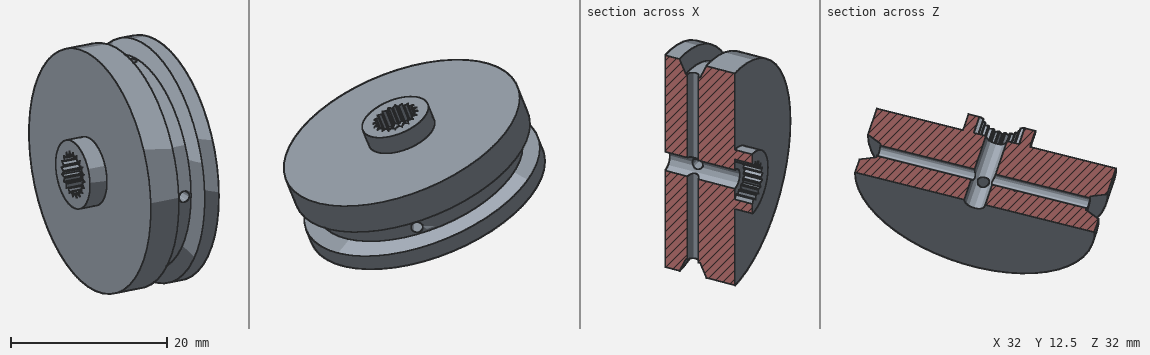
import cadquery as cq
import math

wheel_diameter = 32.0
wheel_width = 10.0
hub_diameter = 9.0
hub_length = 2.5
bore_diameter = 2.75

groove_diameter = 28.0
groove_floor_width = 2.0
groove_mouth_width = 3.8
groove_center_y = wheel_width - 4.0

radial_hole_diameter = 1.5

tooth_count = 20
spline_tip_diameter = 6.0
spline_root_diameter = 5.0
spline_depth = 2.5
tooth_pitch_angle = 360.0 / tooth_count
notch_half_angle = 6.9


def polar_point(radius, angle_degrees):
    """Point at an angle measured from +X."""
    angle = math.radians(angle_degrees)
    return (radius * math.cos(angle), radius * math.sin(angle))


def make_wheel():
    """Revolve the half section of the grooved wheel with its hub."""
    wheel_radius = wheel_diameter / 2
    hub_radius = hub_diameter / 2
    groove_radius = groove_diameter / 2
    half_mouth = groove_mouth_width / 2
    half_floor = groove_floor_width / 2
    section = [
        (0, -hub_length),
        (hub_radius, -hub_length),
        (hub_radius, 0),
        (wheel_radius, 0),
        (wheel_radius, groove_center_y - half_mouth),
        (groove_radius, groove_center_y - half_floor),
        (groove_radius, groove_center_y + half_floor),
        (wheel_radius, groove_center_y + half_mouth),
        (wheel_radius, wheel_width),
        (0, wheel_width),
    ]
    return cq.Workplane("XY").polyline(section).close().revolve(360, (0, 0), (0, 1))


def make_spline_socket():
    """Star-shaped socket: pointed notches separated by short flats."""
    outline = []
    for tooth in range(tooth_count):
        angle = tooth * tooth_pitch_angle
        outline.append(polar_point(spline_root_diameter / 2, angle - notch_half_angle))
        outline.append(polar_point(spline_tip_diameter / 2, angle))
        outline.append(polar_point(spline_root_diameter / 2, angle + notch_half_angle))
    front_face = cq.Workplane("XZ", origin=(0, -hub_length, 0))
    return front_face.polyline(outline).close().extrude(-spline_depth)


def make_bore():
    """Through bore along the wheel axis."""
    front_face = cq.Workplane("XZ", origin=(0, -hub_length, 0))
    return front_face.circle(bore_diameter / 2).extrude(-(hub_length + wheel_width))


def make_radial_hole(plane):
    """Hole across the full wheel, normal to the given plane, centered on the groove."""
    center_plane = cq.Workplane(plane, origin=(0, groove_center_y, 0))
    return center_plane.circle(radial_hole_diameter / 2).extrude(wheel_diameter / 2, both=True)


result = make_wheel().cut(make_spline_socket()).cut(make_bore())
for hole_plane in ("XY", "YZ"):
    result = result.cut(make_radial_hole(hole_plane))